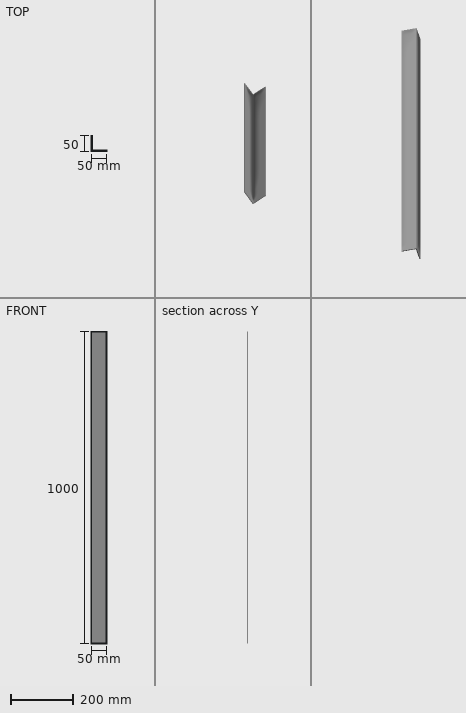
import cadquery as cq

leg_width = 50.0
leg_thickness = 3.0
length = 1000.0
corner_radius = 0.5


def round_corner(body, position):
    """Round the lengthwise edge that crosses the XY plane at (position, position)."""
    nearest = cq.selectors.NearestToPointSelector((position, position, length / 2))
    return body.edges("|Z").edges(nearest).fillet(corner_radius)


profile = [
    (0, 0),
    (leg_width, 0),
    (leg_width, leg_thickness),
    (leg_thickness, leg_thickness),
    (leg_thickness, leg_width),
    (0, leg_width),
]

angle = cq.Workplane("XY").polyline(profile).close().extrude(length)
angle = round_corner(angle, leg_thickness)
result = round_corner(angle, 0)